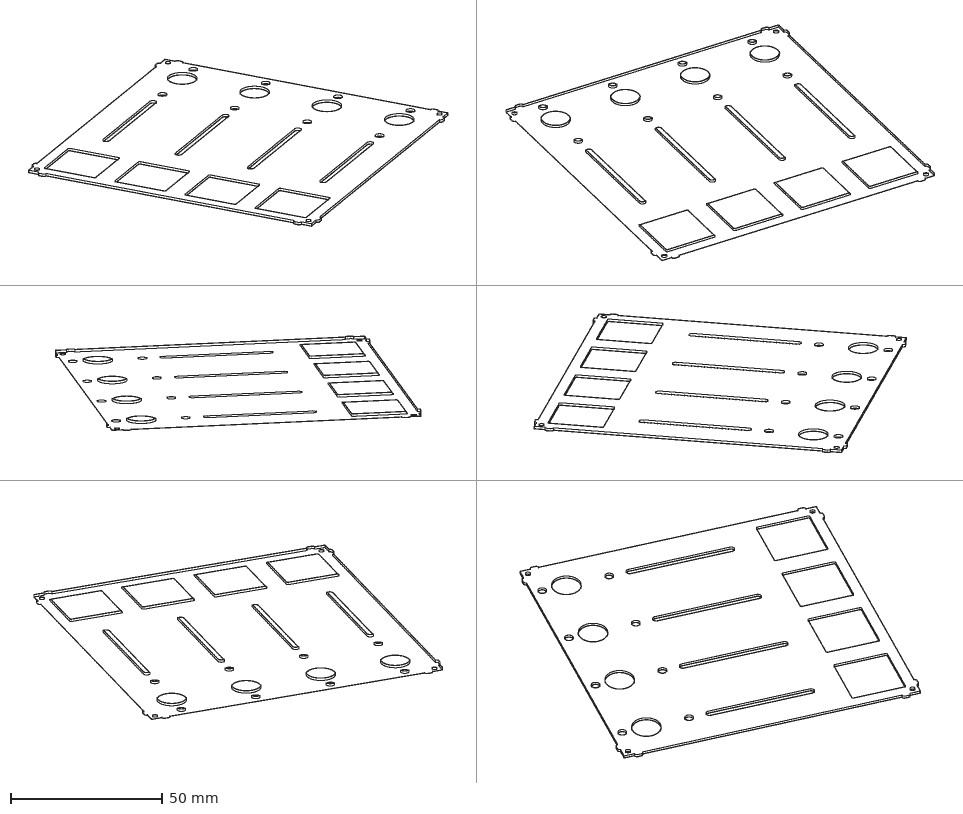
import cadquery as cq

edge_count = 4
body_size = 103.94
overall_size = 105.6
thickness = 0.91

tab_height = (overall_size - body_size) / 2
tab_offset = 46.9
tab_width = 2.8
tab_corner_radius = tab_height

corner_hole_diameter = 1.75
corner_hole_offset = 49.9

column_count = 4
column_pitch = 26.6
mount_hole_diameter = 2.9
mount_hole_heights = (48.4, 24.95)
opening_diameter = 9.8
opening_height = 39.95
slot_width = 2.3
slot_top = 18.95
slot_bottom = -19.0

window_size = 18.75
window_pitch = 25.8
window_height = -38.8
window_corner_radius = 0.5


def row_positions(pitch, height):
    """Points of a row centred on the Y axis."""
    middle = (column_count - 1) / 2
    return [((i - middle) * pitch, height) for i in range(column_count)]


def make_body():
    return cq.Workplane("XY").box(body_size, body_size, thickness, centered=(True, True, False))


def make_tabs():
    """Eight rounded tabs, two on each edge; half of each block overlaps the plate."""
    edge = body_size / 2
    tab_pair = (
        cq.Workplane("XY")
        .pushPoints([(-tab_offset, edge), (tab_offset, edge)])
        .rect(tab_width, 2 * tab_height)
        .extrude(thickness)
        .edges("|Z and >Y")
        .fillet(tab_corner_radius)
    )
    tabs = tab_pair
    for quarter_turn in range(1, edge_count):
        tabs = tabs.union(tab_pair.rotate((0, 0, 0), (0, 0, 1), quarter_turn * 360 / edge_count))
    return tabs


def make_round_holes(points, diameter):
    return cq.Workplane("XY").pushPoints(points).circle(diameter / 2).extrude(thickness)


def make_slots():
    middle = (slot_top + slot_bottom) / 2
    length = slot_top - slot_bottom
    return (
        cq.Workplane("XY")
        .pushPoints(row_positions(column_pitch, middle))
        .slot2D(length, slot_width, 90)
        .extrude(thickness)
    )


def make_windows():
    return (
        cq.Workplane("XY")
        .pushPoints(row_positions(window_pitch, window_height))
        .rect(window_size, window_size)
        .extrude(thickness)
        .edges("|Z")
        .fillet(window_corner_radius)
    )


corner_points = [(x * corner_hole_offset, y * corner_hole_offset) for x in (-1, 1) for y in (-1, 1)]
opening_points = row_positions(column_pitch, opening_height)

result = make_body().union(make_tabs())
result = result.cut(make_round_holes(corner_points, corner_hole_diameter))
for mount_hole_height in mount_hole_heights:
    mount_points = row_positions(column_pitch, mount_hole_height)
    result = result.cut(make_round_holes(mount_points, mount_hole_diameter))
result = result.cut(make_round_holes(opening_points, opening_diameter))
result = result.cut(make_slots())
result = result.cut(make_windows())